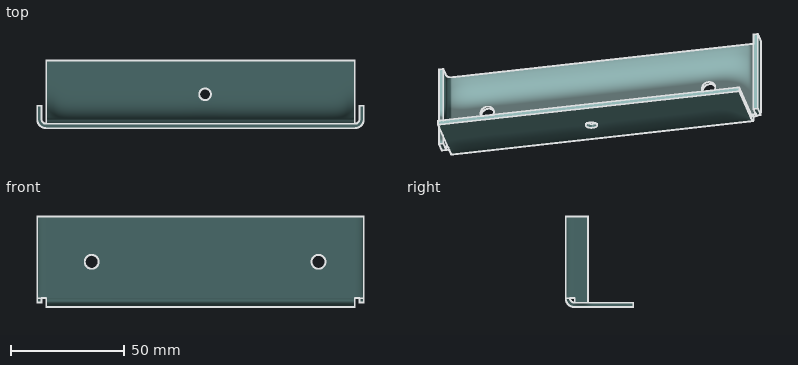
import cadquery as cq

length = 144.0
depth = 30.0
height = 40.0

thickness = 2.0
inner_radius = 2.0
outer_radius = inner_radius + thickness
flange_depth = 10.0

wall_hole_diameter = 6.0
wall_hole_spacing = 100.0
wall_hole_height = height / 2
shelf_hole_diameter = 5.0
hole_offset_x = 2.0
shelf_hole_y = depth / 2

shelf_length = length - 2 * outer_radius


def make_upright():
    """Front wall with a rounded, bent-back flange at each end."""
    blank = (
        cq.Workplane("XY", origin=(0, 0, outer_radius))
        .rect(length, 2 * flange_depth)
        .extrude(height - outer_radius)
        .edges("|Z and <Y")
        .fillet(outer_radius)
    )
    cavity = (
        cq.Workplane("XY", origin=(0, thickness, outer_radius))
        .rect(length - 2 * thickness, 2 * flange_depth)
        .extrude(height - outer_radius)
        .edges("|Z and <Y")
        .fillet(inner_radius)
    )
    keep = cq.Workplane("XY").box(length, flange_depth, height, centered=(True, False, False))
    return blank.cut(cavity).translate((0, flange_depth, 0)).intersect(keep)


def make_shelf():
    """Horizontal shelf with the bend that joins it to the front wall."""
    profile = (
        cq.Workplane("YZ", origin=(-shelf_length / 2, 0, 0))
        .moveTo(0, outer_radius)
        .radiusArc((outer_radius, 0), -outer_radius)
        .lineTo(depth, 0)
        .lineTo(depth, thickness)
        .lineTo(outer_radius, thickness)
        .radiusArc((thickness, outer_radius), inner_radius)
        .close()
    )
    return profile.extrude(shelf_length)


def make_flange_tab(side):
    """Flat part of a side flange, reaching down to the shelf's upper face."""
    outer_x = side * length / 2
    inner_x = outer_x - side * thickness
    return (
        cq.Workplane("XY", origin=((outer_x + inner_x) / 2, outer_radius, thickness))
        .box(thickness, flange_depth - outer_radius, height - thickness, centered=(True, False, False))
    )


result = make_upright().union(make_shelf())
for side in (-1, 1):
    result = result.union(make_flange_tab(side))

wall_holes = (
    cq.Workplane("XZ", origin=(hole_offset_x, 0, wall_hole_height))
    .pushPoints([(-wall_hole_spacing / 2, 0), (wall_hole_spacing / 2, 0)])
    .circle(wall_hole_diameter / 2)
    .extrude(-outer_radius)
)
result = result.cut(wall_holes)

shelf_hole = (
    cq.Workplane("XY", origin=(hole_offset_x, shelf_hole_y, 0))
    .circle(shelf_hole_diameter / 2)
    .extrude(outer_radius)
)
result = result.cut(shelf_hole)